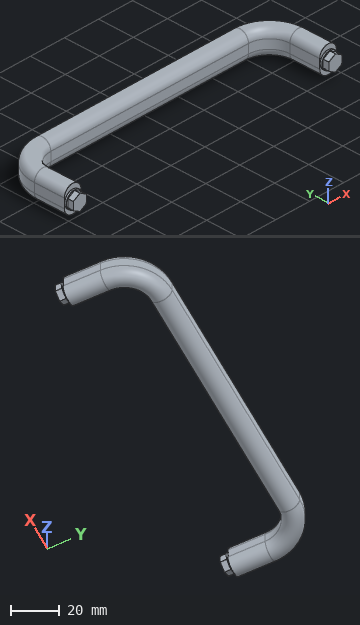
import cadquery as cq
import math

length = 160.0
depth = 43.2
bar_height = 15.0
bar_width = 10.0
bend_radius = 17.0

collar_diameter = 9.5
collar_length = 1.0
hex_across_flats = 7.8
hex_length = 3.2

foot_x = (length - bar_width) / 2
bar_y = -bar_width / 2
stud_end_y = -depth
collar_end_y = stud_end_y + hex_length
foot_y = collar_end_y + collar_length
bend_end_x = foot_x - bend_radius
bend_end_y = bar_y - bend_radius


def make_bow():
    """Sweep the obround bar section along the U-shaped centreline."""
    bend_offset = bend_radius * math.sqrt(0.5)
    bend_mid_x = bend_end_x + bend_offset
    bend_mid_y = bend_end_y + bend_offset
    centreline = (
        cq.Workplane("XY")
        .moveTo(-foot_x, foot_y)
        .lineTo(-foot_x, bend_end_y)
        .threePointArc((-bend_mid_x, bend_mid_y), (-bend_end_x, bar_y))
        .lineTo(bend_end_x, bar_y)
        .threePointArc((bend_mid_x, bend_mid_y), (foot_x, bend_end_y))
        .lineTo(foot_x, foot_y)
    )
    section = cq.Workplane("XZ", origin=(-foot_x, foot_y, 0)).slot2D(bar_height, bar_width, 90)
    return section.sweep(centreline)


def make_fitting(x):
    """Build one collar and its hexagonal stud, with hexagon corners toward +/-Z."""
    collar = (
        cq.Workplane("XZ", origin=(x, foot_y, 0))
        .circle(collar_diameter / 2)
        .extrude(collar_length)
    )
    hex_across_corners = hex_across_flats / math.cos(math.radians(30))
    stud = (
        cq.Workplane("XZ", origin=(x, collar_end_y, 0))
        .transformed(rotate=(0, 0, 90))
        .polygon(6, hex_across_corners)
        .extrude(hex_length)
    )
    return collar.union(stud)


result = make_bow()
for side in (-1, 1):
    result = result.union(make_fitting(side * foot_x))